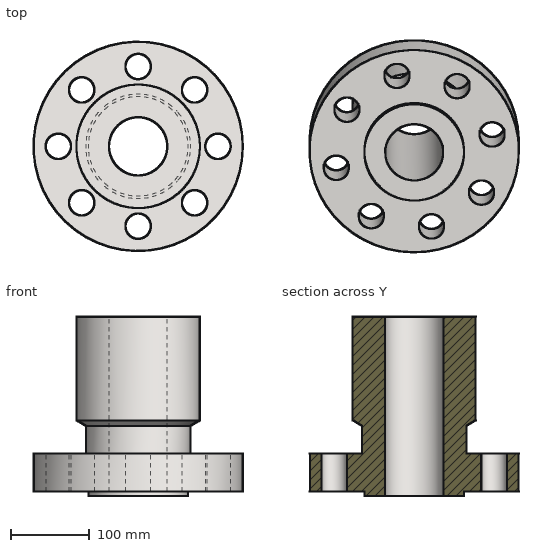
import cadquery as cq

flange_diameter = 266.5
flange_thickness = 48.5
raised_face_diameter = 127.0
raised_face_height = 5.9

neck_diameter = 133.3
hub_diameter = 157.3
taper_start_z = 89.3
hub_start_z = 96.5
overall_height = 228.5

neck_fillet_radius = 0.4

bore_diameter = 73.9
bolt_hole_diameter = 32.0
bolt_circle_diameter = 203.2
bolt_count = 8

flange_top_z = raised_face_height + flange_thickness


def revolved_body():
    """Raised face, flange, filleted neck, taper and hub as one half-section turned about Z."""
    profile = (
        cq.Workplane("XZ")
        .moveTo(0, 0)
        .lineTo(raised_face_diameter / 2, 0)
        .lineTo(raised_face_diameter / 2, raised_face_height)
        .lineTo(flange_diameter / 2, raised_face_height)
        .lineTo(flange_diameter / 2, flange_top_z)
        .lineTo(neck_diameter / 2 + neck_fillet_radius, flange_top_z)
        .radiusArc((neck_diameter / 2, flange_top_z + neck_fillet_radius), neck_fillet_radius)
        .lineTo(neck_diameter / 2, taper_start_z)
        .lineTo(hub_diameter / 2, hub_start_z)
        .lineTo(hub_diameter / 2, overall_height)
        .lineTo(0, overall_height)
        .close()
    )
    return profile.revolve(360, (0, 0, 0), (0, 1, 0))


def bore():
    """Through bore along the axis."""
    return cq.Workplane("XY").circle(bore_diameter / 2).extrude(overall_height)


def bolt_holes():
    """Ring of bolt holes through the flange, the first one on +X."""
    return (
        cq.Workplane("XY")
        .polarArray(bolt_circle_diameter / 2, 0, 360, bolt_count)
        .circle(bolt_hole_diameter / 2)
        .extrude(flange_top_z)
    )


result = revolved_body().cut(bore()).cut(bolt_holes())